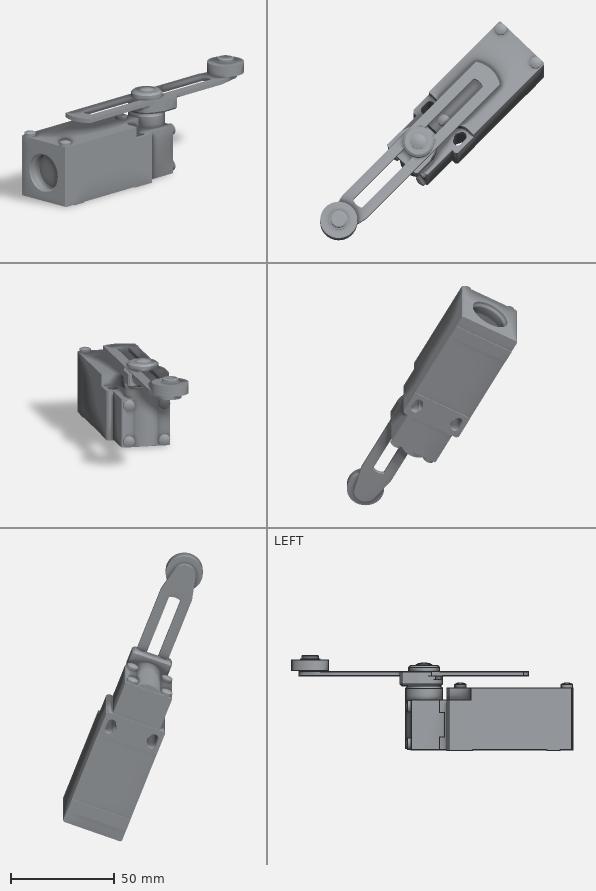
import cadquery as cq
import math


TOTAL_LENGTH = 136

BODY_W = 30.3
BODY_TOP = 30.3
BODY_BACK = 60.9
FOOT_H = 0.4
FOOT_SPANS = ((6.1, 12.5), (48.4, BODY_BACK))
BACK_EDGE_CHAMFER = 1.0
FRONT_EDGE_CHAMFER = 0.7
LEDGE_Z = 24.5
RIB_W = 11.8
POCKET_Y = 49.2
POCKET_R = 4.9
PORT_Z = 14.5
PORT_RIM_D = 19.0
PORT_RIM_DEPTH = 1.1
PORT_BORE_D = 17.0
PORT_DEPTH = 6.1
SLOT_Y = 54.4
SLOT_L = 7.6
SLOT_W = 4.4
SLOT_OUTER_X = 13.0
SLOT_HOLE_D = 5.2
LID_SCREW_D = 5.6
LID_SCREW_H = 1.6
SCREW_CROWN = 0.8
LID_SCREW_X = 11.8
LID_SCREW_INSET = 2.9
LID_SCREW_SPOTS = ((-LID_SCREW_X, LID_SCREW_INSET), (LID_SCREW_X, LID_SCREW_INSET), (0, SLOT_Y))

HEAD_W = 24.2
HEAD_BACK = 78.3
HEAD_EDGE_CHAMFER = 0.4
JOINT_Y = 64.6
SPIGOT_END_Y = 62.0
AXIS_Y = 72.0
BOSS_D = 18.0
BOSS_BOTTOM = 1.1
BOSS_CHAMFER = 1.2
HEAD_SCREW_D = 5.6
HEAD_SCREW_H = 1.6
HEAD_SCREW_X = 8.8
HEAD_SCREW_INSET = 3.0

HUB_BOTTOM = 31.3
HUB_TOP = 38.0
HUB_R = BOSS_D / 2
HUB_HALF_W = 10.2
HUB_BACK = 83.6
HUB_SIDE_FRONT = 74.4
HUB_CHAMFER = 1.0
ARM_CHANNEL_W = 16.5
GROOVE_DEPTH = 1.9
SQUARE_GROOVE_X = (-7.1, -4.0)
ROUND_GROOVE_X = 5.6
ROUND_GROOVE_R = 1.8
KNOB_D = 15.0
KNOB_H = 3.0
KNOB_CHAMFER = 1.0
KNOB_CAP_D = 7.6
KNOB_CAP_H = 0.3
KNOB_CAP_CROWN = 1.0

ARM_BOTTOM = 36.2
ARM_T = 2.0
ARM_TOP = ARM_BOTTOM + ARM_T
ARM_W = 16.0
ARM_FRONT = 21.4
ARM_FRONT_BULGE = 2.5
ARM_TAPER_Y = 116.4
ARM_NOSE_R = 5.51
ARM_SLOT_W = 6.0
ARM_SLOT_FRONT = 29.6
ARM_SLOT_BACK = 114.8
ARM_SLOT_BULGE = 0.8
ROLLER_D = 18.0
ROLLER_Y = TOTAL_LENGTH - ROLLER_D / 2
ROLLER_GAP = 0.4
ROLLER_T = 5.3
PIN_D = 8.0
FLANGE_D = 9.5
PIN_TOP = 46.0
PIN_CHAMFER_H = 0.3
PIN_TIP_D = 7.0


def block(x0, x1, y0, y1, z0, z1):
    return cq.Workplane("XY").box(x1 - x0, y1 - y0, z1 - z0, centered=False).translate((x0, y0, z0))


def cylinder(diameter, y, z0, z1, x=0):
    return cq.Workplane("XY").circle(diameter / 2).extrude(z1 - z0).translate((x, y, z0))


def domed_button(diameter, height, crown):
    """Short cylinder on Z = 0 with a spherical crown."""
    r = diameter / 2
    return (
        cq.Workplane("XZ")
        .lineTo(r, 0)
        .lineTo(r, height)
        .threePointArc(crown_point(r, height, crown), (0, height + crown))
        .close()
        .revolve(360, (0, 0), (0, 1))
    )


def crown_point(r, height, crown):
    """Middle of the crown arc, on a sphere that rises by crown over radius r."""
    sphere_r = (r**2 + crown**2) / (2 * crown)
    half_angle = math.asin(r / sphere_r) / 2
    centre_z = height + crown - sphere_r
    return sphere_r * math.sin(half_angle), centre_z + sphere_r * math.cos(half_angle)


def spigot():
    """Cross-shaped tongue, as wide as the rib, that joins the housing and the head."""
    mid_z = (FOOT_H + LEDGE_Z) / 2
    half = RIB_W / 2
    upright = block(-half, half, SPIGOT_END_Y, JOINT_Y, FOOT_H, LEDGE_Z)
    crossbar = block(-HEAD_W / 2, HEAD_W / 2, SPIGOT_END_Y, JOINT_Y, mid_z - half, mid_z + half)
    return upright.union(crossbar)


def pocket(side):
    """Ledge recess beside the rib, rounded where the rib meets the lid."""
    x0, x1 = sorted((side * RIB_W / 2, side * BODY_W))
    inner_edge = "<X" if side > 0 else ">X"
    recess = block(x0, x1, POCKET_Y, HEAD_BACK, LEDGE_Z, BODY_TOP + 1.4)
    return recess.edges("|Z").edges("<Y").edges(inner_edge).fillet(POCKET_R)


def mounting_slot(side):
    """Slot along Y merged with a round hole; both share the outer tangent line."""
    slot = cq.Workplane("XY").slot2D(SLOT_L, SLOT_W, 90).extrude(BODY_TOP)
    slot = slot.translate((side * (SLOT_OUTER_X - SLOT_W / 2), SLOT_Y, 0))
    hole = cylinder(SLOT_HOLE_D, SLOT_Y, 0, BODY_TOP, side * (SLOT_OUTER_X - SLOT_HOLE_D / 2))
    return slot.union(hole)


def cable_port():
    """Blind entry with a short wide rim that narrows through a 45 degree cone."""
    rim_r, bore_r = PORT_RIM_D / 2, PORT_BORE_D / 2
    cone_end = PORT_RIM_DEPTH + rim_r - bore_r
    return (
        cq.Workplane("XY")
        .lineTo(rim_r, 0)
        .lineTo(rim_r, PORT_RIM_DEPTH)
        .lineTo(bore_r, cone_end)
        .lineTo(bore_r, PORT_DEPTH)
        .lineTo(0, PORT_DEPTH)
        .close()
        .revolve(360, (0, 0), (0, 1))
        .translate((0, 0, PORT_Z))
    )


def make_housing():
    half = BODY_W / 2
    body = block(-half, half, 0, BODY_BACK, FOOT_H, BODY_TOP)
    for y0, y1 in FOOT_SPANS:
        body = body.union(block(-half, half, y0, y1, 0, FOOT_H))
    body = body.edges("|Z and <Y").chamfer(FRONT_EDGE_CHAMFER)
    body = body.edges("|Z and >Y").chamfer(BACK_EDGE_CHAMFER)
    neck = block(-HEAD_W / 2, HEAD_W / 2, BODY_BACK - BACK_EDGE_CHAMFER, JOINT_Y, FOOT_H, LEDGE_Z)
    body = body.union(neck).cut(cable_port())
    for side in (-1, 1):
        body = body.cut(pocket(side)).cut(mounting_slot(side))
    rib_corners = cq.selectors.BoxSelector((-RIB_W, POCKET_Y, LEDGE_Z), (RIB_W, BODY_BACK + 1.4, BODY_TOP))
    body = body.edges(rib_corners).edges("|Z").edges(">Y").chamfer(BACK_EDGE_CHAMFER)
    for x, y in LID_SCREW_SPOTS:
        body = body.union(domed_button(LID_SCREW_D, LID_SCREW_H, SCREW_CROWN).translate((x, y, BODY_TOP)))
    return body.cut(spigot())


def make_head():
    head = block(-HEAD_W / 2, HEAD_W / 2, JOINT_Y, HEAD_BACK, FOOT_H, LEDGE_Z)
    head = head.edges("|Z and >Y").chamfer(HEAD_EDGE_CHAMFER).union(spigot())
    lower_boss = cylinder(BOSS_D, AXIS_Y, BOSS_BOTTOM, LEDGE_Z).intersect(
        block(-HEAD_W, HEAD_W, AXIS_Y, TOTAL_LENGTH, 0, LEDGE_Z))
    upper_boss = cylinder(BOSS_D, AXIS_Y, LEDGE_Z, HUB_BOTTOM).faces(">Z").chamfer(BOSS_CHAMFER)
    head = head.union(lower_boss).union(upper_boss)
    for x in (-HEAD_SCREW_X, HEAD_SCREW_X):
        for z in (FOOT_H + HEAD_SCREW_INSET, LEDGE_Z - HEAD_SCREW_INSET):
            screw = domed_button(HEAD_SCREW_D, HEAD_SCREW_H, SCREW_CROWN).rotate((0, 0, 0), (1, 0, 0), -90)
            head = head.union(screw.translate((x, HEAD_BACK, z)))
    return head


def hub_outline():
    """Square-backed plate whose sides run tangentially into a round front."""
    dy = HUB_SIDE_FRONT - AXIS_Y
    reach = math.hypot(HUB_HALF_W, dy)
    angle = math.atan2(dy, HUB_HALF_W) - math.acos(HUB_R / reach)
    tx, ty = HUB_R * math.cos(angle), AXIS_Y + HUB_R * math.sin(angle)
    return (
        cq.Workplane("XY", origin=(0, 0, HUB_BOTTOM))
        .moveTo(-HUB_HALF_W, HUB_BACK)
        .lineTo(-HUB_HALF_W, HUB_SIDE_FRONT)
        .lineTo(-tx, ty)
        .threePointArc((0, AXIS_Y - HUB_R), (tx, ty))
        .lineTo(HUB_HALF_W, HUB_SIDE_FRONT)
        .lineTo(HUB_HALF_W, HUB_BACK)
        .close()
    )


def make_hub():
    hub = hub_outline().extrude(HUB_TOP - HUB_BOTTOM)
    hub = hub.edges("|Z and >Y").chamfer(HUB_CHAMFER)
    hub = hub.faces("<Z").chamfer(HUB_CHAMFER)
    hub = hub.cut(block(-ARM_CHANNEL_W / 2, ARM_CHANNEL_W / 2, 0, TOTAL_LENGTH, ARM_BOTTOM, ARM_TOP))
    square_x0, square_x1 = SQUARE_GROOVE_X
    hub = hub.cut(block(square_x0, square_x1, 0, TOTAL_LENGTH, ARM_BOTTOM - GROOVE_DEPTH, ARM_BOTTOM))
    round_groove = cq.Workplane("XZ").circle(ROUND_GROOVE_R).extrude(-TOTAL_LENGTH)
    hub = hub.cut(round_groove.translate((ROUND_GROOVE_X, 0, ARM_BOTTOM)))
    stud = cylinder(ARM_SLOT_W, AXIS_Y, ARM_BOTTOM, ARM_TOP)
    knob = cylinder(KNOB_D, AXIS_Y, ARM_TOP, ARM_TOP + KNOB_H)
    knob = knob.faces(">Z").chamfer(KNOB_CHAMFER)
    cap = domed_button(KNOB_CAP_D, KNOB_CAP_H, KNOB_CAP_CROWN).translate((0, AXIS_Y, ARM_TOP + KNOB_H))
    return hub.union(stud).union(knob).union(cap)


def arm_plate():
    half = ARM_W / 2
    shoulder = ROLLER_Y - ARM_TAPER_Y
    angle = math.acos(ARM_NOSE_R / math.hypot(half, shoulder)) - math.atan2(shoulder, half)
    nose_x, nose_y = ARM_NOSE_R * math.cos(angle), ROLLER_Y + ARM_NOSE_R * math.sin(angle)
    corner_y = ARM_FRONT + ARM_FRONT_BULGE
    return (
        cq.Workplane("XY", origin=(0, 0, ARM_BOTTOM))
        .moveTo(half, corner_y)
        .lineTo(half, ARM_TAPER_Y)
        .lineTo(nose_x, nose_y)
        .threePointArc((0, ROLLER_Y + ARM_NOSE_R), (-nose_x, nose_y))
        .lineTo(-half, ARM_TAPER_Y)
        .lineTo(-half, corner_y)
        .threePointArc((0, ARM_FRONT), (half, corner_y))
        .close()
        .extrude(ARM_T)
    )


def arm_slot():
    half = ARM_SLOT_W / 2
    front, back = ARM_SLOT_FRONT + ARM_SLOT_BULGE, ARM_SLOT_BACK - ARM_SLOT_BULGE
    return (
        cq.Workplane("XY", origin=(0, 0, ARM_BOTTOM))
        .moveTo(half, front)
        .lineTo(half, back)
        .threePointArc((0, ARM_SLOT_BACK), (-half, back))
        .lineTo(-half, front)
        .threePointArc((0, ARM_SLOT_FRONT), (half, front))
        .close()
        .extrude(ARM_T)
    )


def make_arm():
    """Slotted arm with the roller pin and the two flanges that hold the roller."""
    roller_bottom = ARM_TOP + ROLLER_GAP
    roller_top = roller_bottom + ROLLER_T
    pin = cylinder(PIN_D, ROLLER_Y, ARM_TOP, PIN_TOP).faces(">Z").chamfer(PIN_CHAMFER_H, (PIN_D - PIN_TIP_D) / 2)
    lower_flange = cylinder(FLANGE_D, ROLLER_Y, ARM_TOP, roller_bottom)
    upper_flange = cylinder(FLANGE_D, ROLLER_Y, roller_top, roller_top + ROLLER_GAP)
    return arm_plate().cut(arm_slot()).union(pin).union(lower_flange).union(upper_flange)


def make_roller():
    bottom = ARM_TOP + ROLLER_GAP
    disc = cylinder(ROLLER_D, ROLLER_Y, bottom, bottom + ROLLER_T)
    return disc.cut(cylinder(PIN_D, ROLLER_Y, bottom, bottom + ROLLER_T))


housing = make_housing()
head = make_head()
hub = make_hub()
arm = make_arm()
roller = make_roller()

result = cq.Compound.makeCompound([housing.val(), head.val(), hub.val(), arm.val(), roller.val()])